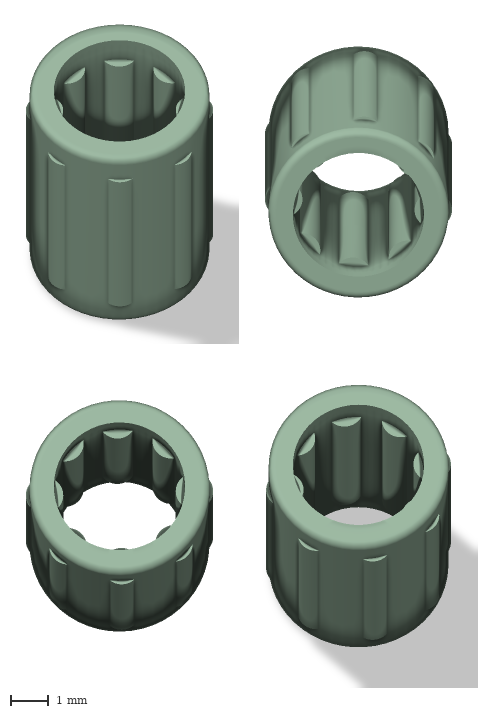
import cadquery as cq

cage_length = 6.8
cage_outer_diameter = 4.8
cage_bore_diameter = 3.5
rim_fillet = 0.2

roller_count = 8
roller_tip_diameter = 5.0
roller_inner_diameter = 3.0
roller_length = 5.2

roller_diameter = (roller_tip_diameter - roller_inner_diameter) / 2
roller_pitch_radius = (roller_tip_diameter + roller_inner_diameter) / 4


def make_cage():
    """Sleeve centred on the origin, with both outer rims rounded."""
    sleeve = cq.Workplane("XY").circle(cage_outer_diameter / 2).extrude(cage_length / 2, both=True)
    sleeve = sleeve.faces("<Z or >Z").edges().fillet(rim_fillet)
    bore = cq.Workplane("XY").circle(cage_bore_diameter / 2).extrude(cage_length / 2, both=True)
    return sleeve.cut(bore)


def make_rollers():
    """Ring of rollers parallel to Z, the first one on the +X axis."""
    return (
        cq.Workplane("XY")
        .polarArray(roller_pitch_radius, 0, 360, roller_count)
        .circle(roller_diameter / 2)
        .extrude(roller_length / 2, both=True)
    )


result = make_cage().union(make_rollers())